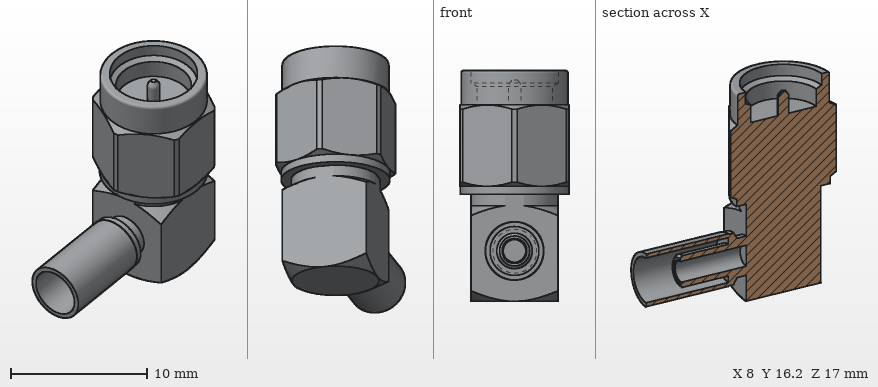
import cadquery as cq
import math

TOTAL_HEIGHT = 16.95
BEVEL_SLOPE = math.tan(math.radians(30))

BODY_WIDTH = 6.39
NECK_RADIUS = 3.27
NECK_BASE = 7.02

NUT_WIDTH = 8.0
NUT_CORNER_RADIUS = 4.51
FLANGE_BOTTOM = 7.85
HEX_BOTTOM = 8.44
HEX_TOP = 14.44
SLEEVE_RADIUS = 3.93
SLEEVE_EDGE_FILLET = 0.2

SOCKET_FLOOR = 14.4
SOCKET_RADIUS = 2.78
SOCKET_CONE_BOTTOM = 15.8
SOCKET_CONE_TOP = 16.03
SOCKET_MOUTH_RADIUS = 3.22
PIN_RADIUS = 0.45
PIN_CONE_RADIUS = 0.35
PIN_TIP_RADIUS = 0.19
PIN_SHOULDER = 15.81
PIN_CONE_BASE = 16.05
PIN_TIP = 16.27

OUTLET_HEIGHT = 3.7
STUB_RADIUS = 1.61
COLLAR_START = 3.93
COLLAR_BEVEL_END = 4.24
COLLAR_RADIUS = 2.12
FERRULE_START = 4.71
FERRULE_END = 11.71
FERRULE_RADIUS = 2.15
FERRULE_BORE_RADIUS = 1.8

POST_END = 8.81
POST_RADIUS = 1.3
POST_TIP_RADIUS = 1.1
POST_TIP_BEVEL = 0.2
POST_BORE_RADIUS = 0.83
POST_BORE_BEVEL = 0.08

HALF_BODY = BODY_WIDTH / 2
HALF_NUT = NUT_WIDTH / 2


def revolve_about_z(profile):
    """Turn a closed (radius, height) profile about the nut axis."""
    return cq.Workplane("XZ").polyline(profile).close().revolve(360, (0, 0, 0), (0, 1, 0))


def revolve_about_outlet(profile):
    """Turn a closed (radius, distance towards -Y) profile about the cable axis."""
    points = [(radius, -distance) for radius, distance in profile]
    turned = cq.Workplane("XY").polyline(points).close().revolve(360, (0, 0, 0), (0, 1, 0))
    return turned.translate((0, 0, OUTLET_HEIGHT))


def make_body():
    """Square block with conically bevelled corners and a flat-sided neck."""
    corner_radius = HALF_BODY * math.sqrt(2)
    lower_bevel = (corner_radius - HALF_BODY) * BEVEL_SLOPE
    upper_bevel = (corner_radius - NECK_RADIUS) * BEVEL_SLOPE
    envelope = revolve_about_z([
        (0, 0),
        (HALF_BODY, 0),
        (corner_radius, lower_bevel),
        (corner_radius, NECK_BASE - upper_bevel),
        (NECK_RADIUS, NECK_BASE),
        (NECK_RADIUS, FLANGE_BOTTOM),
        (0, FLANGE_BOTTOM),
    ])
    block = cq.Workplane("XY").rect(BODY_WIDTH, BODY_WIDTH).extrude(FLANGE_BOTTOM)
    return block.intersect(envelope)


def make_nut():
    """Flange, bevelled hexagon and round sleeve with a filleted top edge."""
    flange = cq.Workplane("XY").workplane(offset=FLANGE_BOTTOM).circle(HALF_NUT)
    flange = flange.extrude(HEX_BOTTOM - FLANGE_BOTTOM)

    lower_bevel = (NUT_CORNER_RADIUS - HALF_NUT) * BEVEL_SLOPE
    upper_bevel = (NUT_CORNER_RADIUS - SLEEVE_RADIUS) * BEVEL_SLOPE
    envelope = revolve_about_z([
        (0, HEX_BOTTOM),
        (HALF_NUT, HEX_BOTTOM),
        (NUT_CORNER_RADIUS, HEX_BOTTOM + lower_bevel),
        (NUT_CORNER_RADIUS, HEX_TOP - upper_bevel),
        (SLEEVE_RADIUS, HEX_TOP),
        (0, HEX_TOP),
    ])
    hexagon = cq.Workplane("XY").workplane(offset=HEX_BOTTOM)
    hexagon = hexagon.polygon(6, NUT_WIDTH, circumscribed=True).extrude(HEX_TOP - HEX_BOTTOM)

    sleeve = cq.Workplane("XY").workplane(offset=HEX_TOP).circle(SLEEVE_RADIUS)
    sleeve = sleeve.extrude(TOTAL_HEIGHT - HEX_TOP).faces(">Z").edges().fillet(SLEEVE_EDGE_FILLET)
    return flange.union(hexagon.intersect(envelope)).union(sleeve)


def make_socket():
    """Stepped recess in the top of the nut."""
    return revolve_about_z([
        (0, SOCKET_FLOOR),
        (SOCKET_RADIUS, SOCKET_FLOOR),
        (SOCKET_RADIUS, SOCKET_CONE_BOTTOM),
        (SOCKET_MOUTH_RADIUS, SOCKET_CONE_TOP),
        (SOCKET_MOUTH_RADIUS, TOTAL_HEIGHT),
        (0, TOTAL_HEIGHT),
    ])


def make_pin():
    """Centre contact with a rounded shoulder and conical tip, rooted in the nut."""
    profile = cq.Workplane("XZ").moveTo(0, HEX_BOTTOM).lineTo(PIN_RADIUS, HEX_BOTTOM)
    profile = profile.lineTo(PIN_RADIUS, PIN_SHOULDER)
    profile = profile.tangentArcPoint((PIN_CONE_RADIUS, PIN_CONE_BASE), relative=False)
    profile = profile.lineTo(PIN_TIP_RADIUS, PIN_TIP).lineTo(0, PIN_TIP).close()
    return profile.revolve(360, (0, 0, 0), (0, 1, 0))


def make_outlet():
    """Stub, bevelled collar and ferrule around a hollow crimp post."""
    return revolve_about_outlet([
        (0, 0),
        (STUB_RADIUS, 0),
        (STUB_RADIUS, COLLAR_START),
        (COLLAR_RADIUS, COLLAR_BEVEL_END),
        (COLLAR_RADIUS, FERRULE_START),
        (FERRULE_RADIUS, FERRULE_START),
        (FERRULE_RADIUS, FERRULE_END),
        (FERRULE_BORE_RADIUS, FERRULE_END),
        (FERRULE_BORE_RADIUS, FERRULE_START),
        (POST_RADIUS, FERRULE_START),
        (POST_RADIUS, POST_END - POST_TIP_BEVEL),
        (POST_TIP_RADIUS, POST_END),
        (POST_BORE_RADIUS + POST_BORE_BEVEL, POST_END),
        (POST_BORE_RADIUS, POST_END - POST_BORE_BEVEL),
        (POST_BORE_RADIUS, HALF_BODY),
        (0, HALF_BODY),
    ])


result = make_body().union(make_nut()).cut(make_socket()).union(make_pin()).union(make_outlet())